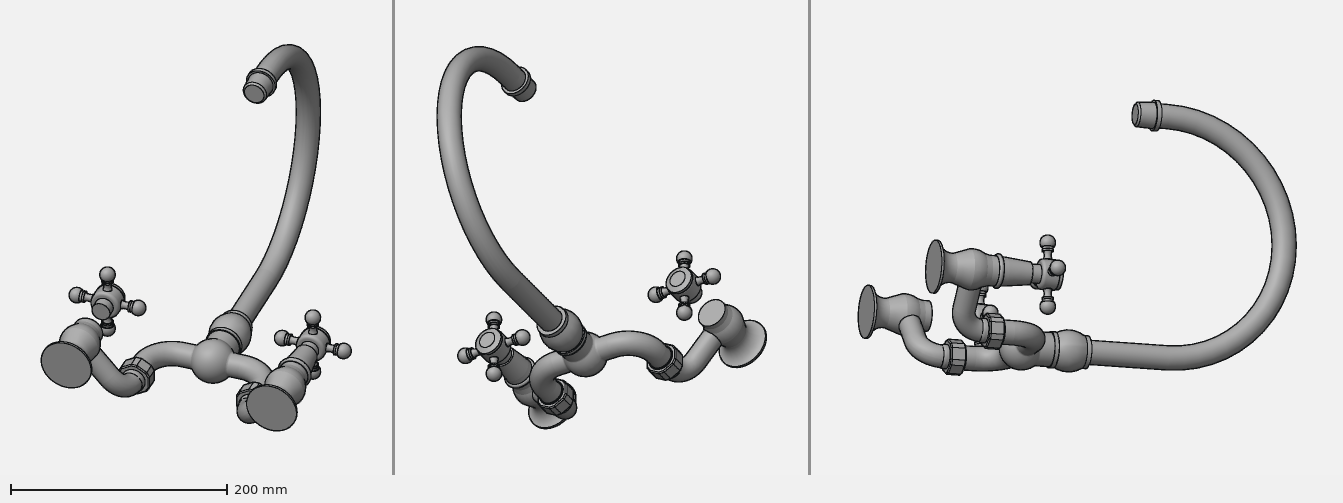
import cadquery as cq
import math


overall_width = 277.0

valve_x = 101.0
valve_z = 47.3
flange_radius = 24.5
flange_thickness = 2.3
waist_radius = 14.0
waist_y = 19.0
flare_hollow = 0.25
flare_rise = 0.35
bell_radius = 38.0 / 2
bell_start_y = 34.2
bell_mid_radius = 18.5
bell_mid_y = 41.5
shoulder_radius = 15.8
shoulder_y = 47.5
barrel_radius = 14.2
barrel_start_y = 53.5
barrel_end_y = 59.5
bead_radius = 16.0
bead_length = 4.5
sleeve_base_radius = 13.5
sleeve_base_y = 69.5
sleeve_tip_radius = 10.8
sleeve_end_y = 93.0

stem_radius = 9.0
hub_radius = 14.2
hub_start_y = 102.3
hub_end_y = 118.5
hub_edge_fillet = 3.0
hub_rim_fillet = 1.0
cap_radius = 13.5
cap_rim_y = 121.5
cap_top_radius = 8.0
cap_top_y = 123.5
arm_count = 4
arm_y = 110.7
arm_radius = 3.35
arm_end_radius = 4.2
ring_radius = 5.5
ring_start = 22.0
ring_length = 2.0
knob_radius = 7.3
knob_neck_radius = 5.0
knob_flat_distance = 26.0
handle_reach = overall_width / 2 - valve_x
knob_distance = handle_reach - knob_radius

ball_radius = 20.8
ball_fillet = 2.0
bridge_y = 118.0
pipe_radius = 22.5 / 2
drop_x = 58.0
upper_bend_radius = 28.5
nut_start_y = 64.0
nut_end_y = 78.5
nut_apothem = 15.5
nut_corner_apothem = 16.0
nut_edge_chamfer = 1.0
lip_radius = 12.3
lip_length = 1.0
tail_collar_radius = pipe_radius
tail_collar_y = 60.7
tail_radius = 21.0 / 2
tail_collar_end_y = 58.0
tail_y = 39.0
tail_bend_radius = 22.0
tail_bend_start_y = tail_y + tail_bend_radius

neck_radius = 32.0 / 2
neck_ring_radius = 17.0
neck_ring_start_y = 145.3
neck_ring_end_y = 149.5
bulb_end_radius = 15.5
bulb_radius = 19.5
bulb_end_y = 177.2
bulb_mid_y = (neck_ring_end_y + bulb_end_y) / 2
spout_ring_end_y = 181.5
spout_radius = pipe_radius
spout_end_y = 384.5
outlet_ring_radius = 14.2
outlet_ring_start_y = 245.5
outlet_ring_end_y = 250.0
outlet_base_radius = 12.3
outlet_tip_radius = 11.5
outlet_tip_y = 228.5
outlet_chamfer = 2.0
spout_bend_radius = 114.0
spout_bend_y = spout_end_y - spout_radius - spout_bend_radius
outlet_z = 2 * spout_bend_radius


def revolve_y(profile):
    """Turn a closed profile drawn as (radius, Y) about the Y axis."""
    return profile.close().revolve(360, (0, 0, 0), (0, 1, 0))


def cylinder_y(radius, start_y, end_y):
    """A cylinder along the Y axis."""
    return cq.Workplane("XZ", origin=(0, start_y, 0)).circle(radius).extrude(start_y - end_y)


def pipe(path, radius, start, direction):
    """Sweep a round bar along a path."""
    plane = cq.Plane(origin=start, normal=direction)
    return cq.Workplane(plane).circle(radius).sweep(path)


def valve_body():
    """Wall flange, flared waist, bell and short barrel."""
    flare_mid = (waist_radius + flare_hollow * (flange_radius - waist_radius),
                 flange_thickness + flare_rise * (waist_y - flange_thickness))
    profile = (
        cq.Workplane("XY")
        .lineTo(flange_radius, 0)
        .lineTo(flange_radius, flange_thickness)
        .threePointArc(flare_mid, (waist_radius, waist_y))
        .lineTo(bell_radius, bell_start_y)
        .threePointArc((bell_mid_radius, bell_mid_y), (shoulder_radius, shoulder_y))
        .lineTo(barrel_radius, barrel_start_y)
        .lineTo(barrel_radius, barrel_end_y)
        .lineTo(0, barrel_end_y)
    )
    return revolve_y(profile)


def valve_sleeve():
    """Beaded collar and tapered sleeve that join a handle to its valve body."""
    bead_end_y = barrel_end_y + bead_length
    bead_side_radius = bead_radius - bead_length / 2
    profile = (
        cq.Workplane("XY")
        .moveTo(0, barrel_end_y)
        .lineTo(bead_side_radius, barrel_end_y)
        .threePointArc((bead_radius, barrel_end_y + bead_length / 2), (bead_side_radius, bead_end_y))
        .lineTo(sleeve_base_radius, sleeve_base_y)
        .lineTo(sleeve_tip_radius, sleeve_end_y)
        .lineTo(0, sleeve_end_y)
    )
    return revolve_y(profile)


def handle_hub():
    """Stem, rounded hub and domed cap of a cross handle."""
    hub = cylinder_y(hub_radius, hub_start_y, hub_end_y)
    hub = hub.edges("<Y").fillet(hub_edge_fillet).edges(">Y").fillet(hub_rim_fillet)
    cap = revolve_y(
        cq.Workplane("XY")
        .moveTo(0, hub_end_y)
        .lineTo(cap_radius, hub_end_y)
        .lineTo(cap_radius, cap_rim_y)
        .lineTo(cap_top_radius, cap_top_y)
        .lineTo(0, cap_top_y)
    )
    stem = cylinder_y(stem_radius, sleeve_end_y, hub_start_y)
    return hub.union(cap).union(stem)


def handle_arm():
    """One arm along +X from the handle axis: rod, ring, neck and ball knob."""
    ring_end = ring_start + ring_length
    knob_flat_radius = math.sqrt(knob_radius**2 - (knob_distance - knob_flat_distance)**2)
    profile = (
        cq.Workplane("XY")
        .lineTo(0, arm_end_radius)
        .lineTo(hub_radius, arm_end_radius)
        .threePointArc(((hub_radius + ring_start) / 2, arm_radius), (ring_start, arm_end_radius))
        .lineTo(ring_start, ring_radius)
        .lineTo(ring_end, ring_radius)
        .lineTo(ring_end, knob_neck_radius)
        .lineTo(knob_flat_distance, knob_neck_radius)
        .lineTo(knob_flat_distance, knob_flat_radius)
        .threePointArc((knob_distance, knob_radius), (handle_reach, 0))
        .close()
    )
    return profile.revolve(360, (0, 0, 0), (1, 0, 0)).translate((0, arm_y, 0))


def cross_handle():
    """A complete handle on the Y axis."""
    handle = handle_hub()
    for i in range(arm_count):
        handle = handle.union(handle_arm().rotate((0, 0, 0), (0, 1, 0), i * 360 / arm_count))
    return handle


def upper_pipe():
    """Pipe from the ball along +X, bent down towards the wall as far as the nut."""
    bend_x = drop_x - upper_bend_radius
    bend_y = bridge_y - upper_bend_radius
    diagonal = upper_bend_radius * math.sqrt(0.5)
    path = (
        cq.Workplane("XY")
        .moveTo(0, bridge_y)
        .lineTo(bend_x, bridge_y)
        .threePointArc((bend_x + diagonal, bend_y + diagonal), (drop_x, bend_y))
        .lineTo(drop_x, nut_start_y)
    )
    return pipe(path, pipe_radius, (0, bridge_y, 0), (1, 0, 0))


def union_nut():
    """Hexagon nut with its corners flattened, between a lip and a collar."""
    length = nut_end_y - nut_start_y
    hexagon = cq.Workplane("XZ", origin=(0, nut_end_y, 0))
    hexagon = hexagon.polygon(6, 2 * nut_apothem, circumscribed=True).extrude(length)
    corners = cq.Workplane("XZ", origin=(0, nut_end_y, 0))
    corners = corners.polygon(6, 2 * nut_corner_apothem, circumscribed=True).extrude(length)
    nut = hexagon.intersect(corners.rotate((0, 0, 0), (0, 1, 0), 30))
    nut = nut.faces("<Y or >Y").chamfer(nut_edge_chamfer)
    lip = cylinder_y(lip_radius, nut_end_y, nut_end_y + lip_length)
    collar = revolve_y(
        cq.Workplane("XY")
        .moveTo(0, nut_start_y)
        .lineTo(tail_collar_radius, nut_start_y)
        .lineTo(tail_collar_radius, tail_collar_y)
        .lineTo(tail_radius, tail_collar_end_y)
        .lineTo(0, tail_collar_end_y)
    )
    return nut.union(lip).union(collar).translate((drop_x, 0, 0))


def tail_pipe():
    """Pipe below the nut, bent to run parallel to the wall and slanting up to the valve axis."""
    run = math.hypot(valve_x - drop_x, valve_z)
    slope = math.degrees(math.atan2(valve_z, valve_x - drop_x))
    diagonal = tail_bend_radius * math.sqrt(0.5)
    path = (
        cq.Workplane("XY")
        .moveTo(0, tail_bend_start_y)
        .threePointArc(
            (tail_bend_radius - diagonal, tail_bend_start_y - diagonal), (tail_bend_radius, tail_y)
        )
        .lineTo(run, tail_y)
    )
    tail = pipe(path, tail_radius, (0, tail_bend_start_y, 0), (0, -1, 0))
    return tail.rotate((0, 0, 0), (0, 1, 0), -slope).translate((drop_x, 0, 0))


def spout_base():
    """Ball joining the bridge pipes, with the ringed neck and bulb that hold the spout."""
    ball = cq.Workplane("XY").sphere(ball_radius).rotate((0, 0, 0), (0, 1, 0), 90)
    ball = ball.translate((0, bridge_y, 0))
    neck = revolve_y(
        cq.Workplane("XY")
        .moveTo(0, bridge_y)
        .lineTo(neck_radius, bridge_y)
        .lineTo(neck_radius, neck_ring_start_y)
        .lineTo(neck_ring_radius, neck_ring_start_y)
        .lineTo(neck_ring_radius, neck_ring_end_y)
        .lineTo(bulb_end_radius, neck_ring_end_y)
        .threePointArc((bulb_radius, bulb_mid_y), (bulb_end_radius, bulb_end_y))
        .lineTo(bulb_end_radius, spout_ring_end_y)
        .lineTo(0, spout_ring_end_y)
    )
    return ball.union(neck)


def spout():
    """Tube running out from the base and bent through a half circle back towards the wall."""
    path = (
        cq.Workplane("YZ")
        .moveTo(bulb_mid_y, 0)
        .lineTo(spout_bend_y, 0)
        .threePointArc((spout_bend_y + spout_bend_radius, spout_bend_radius), (spout_bend_y, outlet_z))
        .lineTo(outlet_ring_start_y, outlet_z)
    )
    return pipe(path, spout_radius, (0, bulb_mid_y, 0), (0, 1, 0))


def outlet():
    """Flanged, slightly tapered outlet at the end of the spout."""
    profile = (
        cq.Workplane("XY")
        .moveTo(0, outlet_tip_y)
        .lineTo(outlet_tip_radius - outlet_chamfer, outlet_tip_y)
        .lineTo(outlet_tip_radius, outlet_tip_y + outlet_chamfer)
        .lineTo(outlet_base_radius, outlet_ring_start_y)
        .lineTo(outlet_ring_radius, outlet_ring_start_y)
        .lineTo(outlet_ring_radius, outlet_ring_end_y)
        .lineTo(0, outlet_ring_end_y)
    )
    return revolve_y(profile).translate((0, 0, outlet_z))


def blend_ball(body):
    """Fillet the circles where the neck and the two bridge pipes leave the ball."""
    pipe_joint = math.sqrt(ball_radius**2 - pipe_radius**2)
    neck_joint = math.sqrt(ball_radius**2 - neck_radius**2)
    joint_centers = [
        (pipe_joint, bridge_y, 0),
        (-pipe_joint, bridge_y, 0),
        (0, bridge_y + neck_joint, 0),
    ]
    for center in joint_centers:
        joint = cq.selectors.NearestToPointSelector(center)
        body = body.edges(joint).fillet(ball_fillet)
    return body


def faucet():
    """The whole faucet as one solid, with its handle on the +X valve."""
    body = spout_base().union(spout()).union(outlet())
    supply = (
        upper_pipe()
        .union(union_nut())
        .union(tail_pipe())
        .union(valve_body().translate((valve_x, 0, valve_z)))
    )
    body = body.union(supply).union(supply.mirror("YZ"))
    joined_handle = valve_sleeve().union(cross_handle())
    body = blend_ball(body)
    return body.union(joined_handle.translate((valve_x, 0, valve_z)))


faucet_body = faucet()
loose_handle = cross_handle().translate((-valve_x, 0, valve_z))

result = cq.Compound.makeCompound([faucet_body.val(), loose_handle.val()])